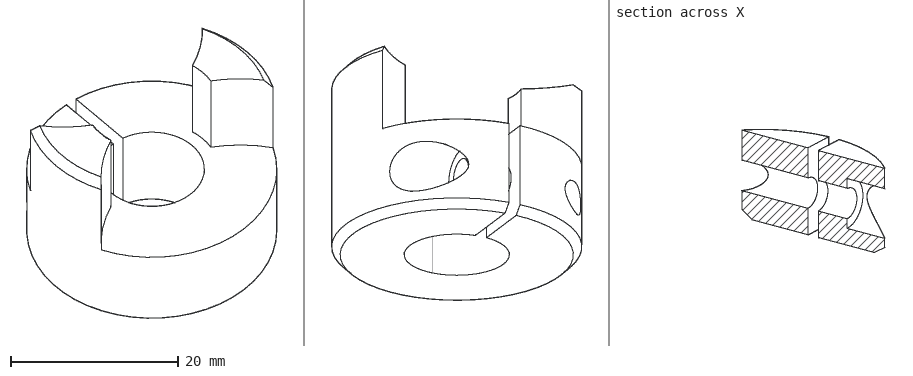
import cadquery as cq
import math

outer_radius = 14.98
bore_radius = 6.3
total_height = 22.48
hub_height = 11.3
edge_chamfer = 1.02
slot_width = 1.5

jaw_inner_radius = 8.0
jaw_inner_half_width = 1.7
jaw_outer_half_width = 6.6
flank_sagitta = 0.42
jaw_overshoot = 1.5

screw_x = -10.7
screw_z = 5.42
screw_hole_diameter = 3.9
head_diameter = 6.38
head_seat_y = 5.0


def make_blank():
    """Full-height cylinder, chamfered at both rims."""
    blank = cq.Workplane("XY").circle(outer_radius).extrude(total_height)
    return blank.faces("<Z or >Z").chamfer(edge_chamfer)


def make_jaw_prism():
    """Outline of the +Y jaw, open past the rim and rising from the hub face."""
    inner_y = math.sqrt(jaw_inner_radius**2 - jaw_inner_half_width**2)
    outer_y = math.sqrt(outer_radius**2 - jaw_outer_half_width**2)
    run = jaw_outer_half_width - jaw_inner_half_width
    rise = outer_y - inner_y
    chord = math.hypot(run, rise)
    flank_x = (jaw_inner_half_width + jaw_outer_half_width) / 2 - flank_sagitta * rise / chord
    flank_y = (inner_y + outer_y) / 2 + flank_sagitta * run / chord
    return (
        cq.Workplane("XY")
        .moveTo(-jaw_inner_half_width, inner_y)
        .threePointArc((0, jaw_inner_radius), (jaw_inner_half_width, inner_y))
        .threePointArc((flank_x, flank_y), (jaw_outer_half_width, outer_y))
        .lineTo(jaw_outer_half_width, outer_radius + jaw_overshoot)
        .lineTo(-jaw_outer_half_width, outer_radius + jaw_overshoot)
        .lineTo(-jaw_outer_half_width, outer_y)
        .threePointArc((-flank_x, flank_y), (-jaw_inner_half_width, inner_y))
        .close()
        .extrude(total_height - hub_height)
        .translate((0, 0, hub_height))
    )


def make_cylinder_along_y(diameter, start_y, end_y):
    """Cylinder on the clamp screw axis between two Y positions."""
    return cq.Workplane(
        cq.Plane(origin=(screw_x, start_y, screw_z), xDir=(1, 0, 0), normal=(0, 1, 0))
    ).circle(diameter / 2).extrude(end_y - start_y)


jaw = make_jaw_prism()
opposite_jaw = jaw.rotate((0, 0, 0), (0, 0, 1), 180)
cut_size = 2 * (outer_radius + jaw_overshoot)
clearance = (
    cq.Workplane("XY")
    .workplane(offset=hub_height)
    .rect(cut_size, cut_size)
    .extrude(total_height - hub_height)
    .cut(jaw)
    .cut(opposite_jaw)
)
body = make_blank().cut(clearance)

bore = cq.Workplane("XY").circle(bore_radius).extrude(hub_height)
slot = (
    cq.Workplane("XY")
    .box(outer_radius, slot_width, hub_height, centered=(False, True, False))
    .translate((-outer_radius, 0, 0))
)
screw_hole = make_cylinder_along_y(screw_hole_diameter, -outer_radius, outer_radius)
head_recess = make_cylinder_along_y(head_diameter, head_seat_y, outer_radius)

result = body.cut(bore).cut(slot).cut(screw_hole).cut(head_recess)